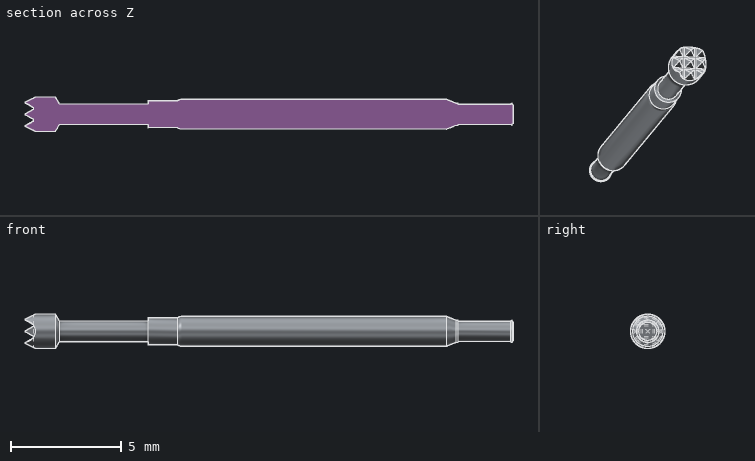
import cadquery as cq
import math

length = 22.1
head_end = 1.37
neck_start = 1.55
sleeve_start = 5.57
sleeve_end = 6.9
body_start = 7.1
body_end = 19.07
taper_end = 19.51
collar_end = 19.6
bead_width = 0.13

head_diameter = 1.57
plunger_diameter = 0.95
sleeve_diameter = 1.24
body_diameter = 1.37
collar_diameter = 1.02
tail_diameter = 0.93
bead_diameter = 1.02
tail_end_diameter = 0.82

teeth_per_row = 3
tooth_pitch = 0.53
tooth_tip_width = 0.05
groove_floor_width = 0.07
groove_angle = 60.0

rim_bevel_length = 0.46
corner_flat_tip_radius = 0.75


def make_turned_body():
    """Revolve the stepped outline around the X axis."""
    head_radius = head_diameter / 2
    plunger_radius = plunger_diameter / 2
    sleeve_radius = sleeve_diameter / 2
    body_radius = body_diameter / 2
    collar_radius = collar_diameter / 2
    tail_radius = tail_diameter / 2
    bead_start = length - bead_width
    bead_middle = length - bead_width / 2
    shoulder_run = body_start - sleeve_end
    shoulder_rise = body_radius - sleeve_radius
    shoulder_radius = (shoulder_run**2 + shoulder_rise**2) / (2 * shoulder_rise)
    outline = (
        cq.Workplane("XY")
        .lineTo(0, head_radius)
        .lineTo(head_end, head_radius)
        .lineTo(neck_start, plunger_radius)
        .lineTo(sleeve_start, plunger_radius)
        .lineTo(sleeve_start, sleeve_radius)
        .lineTo(sleeve_end, sleeve_radius)
        .radiusArc((body_start, body_radius), shoulder_radius)
        .lineTo(body_end, body_radius)
        .lineTo(taper_end, collar_radius)
        .lineTo(collar_end, collar_radius)
        .lineTo(collar_end, tail_radius)
        .lineTo(bead_start, tail_radius)
        .lineTo(bead_middle, bead_diameter / 2)
        .lineTo(length, tail_end_diameter / 2)
        .lineTo(length, 0)
        .close()
    )
    return outline.revolve(360, (0, 0, 0), (1, 0, 0))


def make_groove(offset):
    """V groove along Z, centred at the given Y and open toward the tip."""
    half_floor = groove_floor_width / 2
    half_mouth = (tooth_pitch - tooth_tip_width) / 2
    depth = (half_mouth - half_floor) / math.tan(math.radians(groove_angle / 2))
    return (
        cq.Workplane("XY")
        .polyline([
            (0, offset - half_mouth),
            (depth, offset - half_floor),
            (depth, offset + half_floor),
            (0, offset + half_mouth),
        ])
        .close()
        .extrude(head_diameter, both=True)
    )


def make_outer_wedge(tip_offset):
    """Wedge on the +Y side of a plane that runs from the tip face to the head surface."""
    return (
        cq.Workplane("XY")
        .polyline([
            (0, tip_offset),
            (rim_bevel_length, head_diameter / 2),
            (rim_bevel_length, head_diameter),
            (0, head_diameter),
        ])
        .close()
        .extrude(head_diameter, both=True)
    )


def turned(shape, angle):
    """Copy of a shape turned about the part axis."""
    return shape.rotate((0, 0, 0), (1, 0, 0), angle)


result = make_turned_body()

for index in range(teeth_per_row - 1):
    groove = make_groove((index - (teeth_per_row - 2) / 2) * tooth_pitch)
    result = result.cut(groove).cut(turned(groove, 90))

rim_tip_offset = (teeth_per_row - 1) / 2 * tooth_pitch + tooth_tip_width / 2
outer_bevel = make_outer_wedge(rim_tip_offset)
corner_flat = make_outer_wedge(corner_flat_tip_radius)
for quarter_turn in (0, 90, 180, 270):
    result = result.cut(turned(outer_bevel, quarter_turn))
    result = result.cut(turned(corner_flat, quarter_turn + 45))